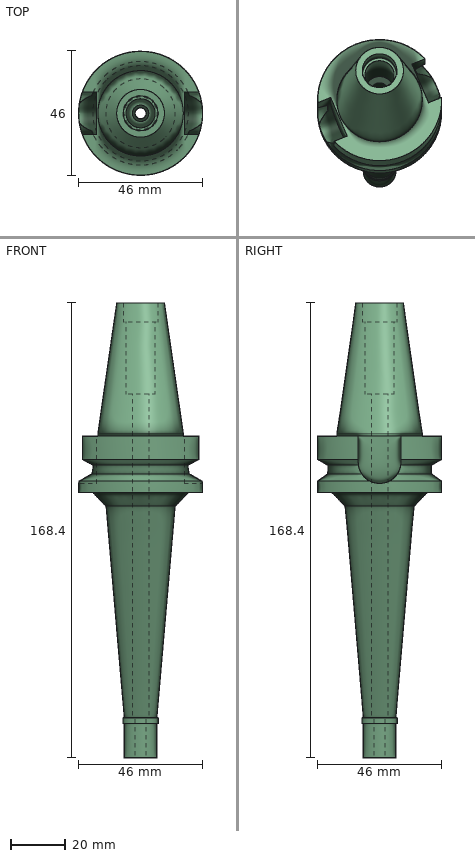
import cadquery as cq

overall_length = 168.4
gauge_z = 120.0
flange_top_z = 119.0
upper_collar_z = 110.5
groove_top_z = 108.3
groove_bottom_z = 105.0
lower_collar_z = 102.4
flange_bottom_z = 98.2
stem_top_z = 93.1
joint_z = 15.0
ring_top_z = 14.7
ring_bottom_z = 12.6

flange_radius = 22.99
gauge_radius = 15.8
taper_tip_radius = 8.84
groove_radius = 19.2
shoulder_radius = 17.7
stem_top_radius = 12.8
nose_radius = 6.0
ring_radius = 6.5

slot_width = 15.8
slot_floor_x = 16.3
slot_bottom_z = 101.5

counterbore_radius = 6.4
counterbore_depth = 7.0
thread_bore_radius = 5.4
thread_bore_depth = 33.7
holder_bore_radius = 3.0
nose_bore_radius = 2.0


def revolve_profile(points):
    """Revolve a closed (radius, height) outline about the Z axis."""
    return cq.Workplane("XZ").polyline(points).close().revolve(360, (0, 0), (0, 1))


def bore(radius, bottom_z, top_z):
    """Cylinder on the Z axis used to cut a bore."""
    return cq.Workplane("XY").workplane(offset=bottom_z).circle(radius).extrude(top_z - bottom_z)


def drive_slot(side):
    """Round-bottomed cutter for the drive slot on the +X (1) or -X (-1) side."""
    half_width = slot_width / 2
    arc_center_z = slot_bottom_z + half_width
    return (
        cq.Workplane("YZ", origin=(side * slot_floor_x, 0, 0))
        .moveTo(-half_width, flange_top_z)
        .lineTo(-half_width, arc_center_z)
        .threePointArc((0, slot_bottom_z), (half_width, arc_center_z))
        .lineTo(half_width, flange_top_z)
        .close()
        .extrude(side * flange_radius)
    )


def make_holder():
    """Spindle taper, grooved flange and slender stem with a stepped bore."""
    body = revolve_profile([
        (0, joint_z),
        (nose_radius, joint_z),
        (stem_top_radius, stem_top_z),
        (shoulder_radius, flange_bottom_z),
        (flange_radius, flange_bottom_z),
        (flange_radius, lower_collar_z),
        (groove_radius, groove_bottom_z),
        (groove_radius, groove_top_z),
        (flange_radius, upper_collar_z),
        (flange_radius, flange_top_z),
        (gauge_radius, flange_top_z),
        (gauge_radius, gauge_z),
        (taper_tip_radius, overall_length),
        (0, overall_length),
    ])
    for side in (-1, 1):
        body = body.cut(drive_slot(side))
    body = body.cut(bore(holder_bore_radius, joint_z, overall_length))
    body = body.cut(bore(thread_bore_radius, overall_length - thread_bore_depth, overall_length))
    return body.cut(bore(counterbore_radius, overall_length - counterbore_depth, overall_length))


def make_nose():
    """Hollow cylindrical nose with a raised ring, chamfered up to the joint."""
    body = revolve_profile([
        (0, 0),
        (nose_radius, 0),
        (nose_radius, ring_bottom_z),
        (ring_radius, ring_bottom_z),
        (ring_radius, ring_top_z),
        (nose_radius, joint_z),
        (0, joint_z),
    ])
    return body.cut(bore(nose_bore_radius, 0, joint_z))


holder = make_holder()
nose = make_nose()

result = cq.Compound.makeCompound([holder.val(), nose.val()])